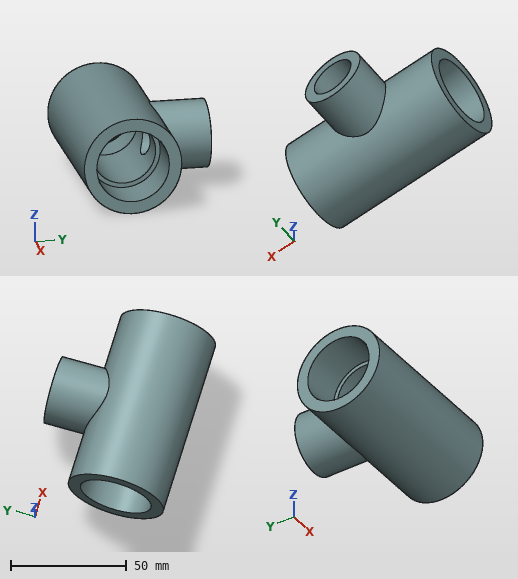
import cadquery as cq

run_length = 79.7
run_outer_diameter = 43.0
run_bore_diameter = 28.0
run_socket_diameter = 32.0
run_socket_depth = 20.0

branch_reach = 39.8
branch_outer_diameter = 29.9
branch_bore_diameter = 15.63
branch_socket_diameter = 20.0
branch_socket_depth = 16.0


def cylinder_along_x(diameter, start, length):
    """Cylinder on the X axis, from x = start towards +X."""
    return cq.Workplane("YZ", origin=(start, 0, 0)).circle(diameter / 2).extrude(length)


def cylinder_along_y(diameter, start, length):
    """Cylinder on the Y axis, from y = start towards +Y."""
    return cq.Workplane("XZ", origin=(0, start, 0)).circle(diameter / 2).extrude(-length)


def make_outer_body():
    run = cylinder_along_x(run_outer_diameter, -run_length / 2, run_length)
    branch = cylinder_along_y(branch_outer_diameter, 0, branch_reach)
    return run.union(branch)


def cut_run_passage(body):
    """Through bore with a wider pipe socket at each end."""
    half_length = run_length / 2
    body = body.cut(cylinder_along_x(run_bore_diameter, -half_length, run_length))
    for socket_start in (-half_length, half_length - run_socket_depth):
        body = body.cut(cylinder_along_x(run_socket_diameter, socket_start, run_socket_depth))
    return body


def cut_branch_passage(body):
    """Bore from the main passage to the branch end, with a wider socket at that end."""
    socket_start = branch_reach - branch_socket_depth
    body = body.cut(cylinder_along_y(branch_bore_diameter, 0, branch_reach))
    return body.cut(cylinder_along_y(branch_socket_diameter, socket_start, branch_socket_depth))


result = cut_branch_passage(cut_run_passage(make_outer_body()))